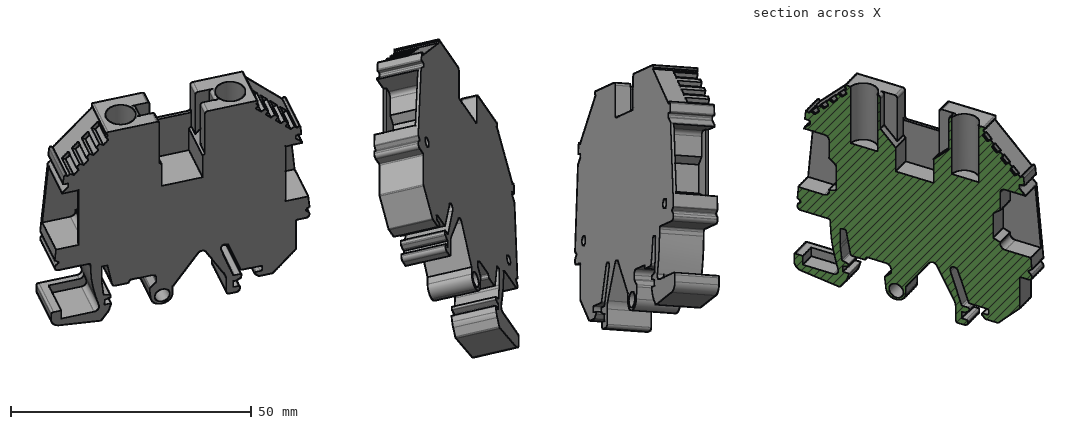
import cadquery as cq
import math


WIDTH = 9.9
HEIGHT = 51.1
WALL = 0.75
FAR_WALL = 0.6

SLOT_HALF = 5.0
SLOT_FLOOR = 43.5
SLOT_LIP_FILLET = 0.6
SLOT_FILLET = 0.5
WELL_RIM_Z = 39.75
WELL_RIM_CHAMFER = 0.5
WELL_HALF = SLOT_HALF - WELL_RIM_CHAMFER
WELL_BOTTOM = 33.35

SHOULDER_TOP_Y = 16.3
SHOULDER_TOP_Z = 50.2
TOWER_EDGE_Y = 16.6
OVERHANG_RISE = 0.3
SHOULDER_RUN = 8.85
GROOVE_START_X = 4.5
GROOVE_COUNT = 4
GROOVE_PITCH = 3.05
GROOVE_MOUTH = 2.0
GROOVE_BASE = 1.5
GROOVE_DEPTH = 0.95
FIRST_GROOVE = 1.6

SCREW_X = 5.4
SCREW_Y = 12.0
SCREW_RADIUS = 3.15
SCREW_DEPTH = 14.15
NOTCH_X = 5.15
NOTCH_WIDTH = 3.5
NOTCH_BACK_Y = 8.1
NOTCH_FILLET = 0.7

ENTRY_FLOOR = 22.0
ENTRY_CEILING = 36.95
ENTRY_FAR_WALL_Y = 22.65
ENTRY_OUTER_Y = 29.45
ENTRY_FACE_Y = 20.4
ENTRY_BACK_Y = 18.7
ENTRY_FLOOR_FILLET = 1.15
ENTRY_CEILING_FILLET = 1.0
ENTRY_SILL_RISE = 1.5
ENTRY_SILL_TOP_RISE = 2.1
ENTRY_LINTEL_Z = 31.5
ENTRY_LINTEL_LOW_Z = 30.15

DIMPLE_Y = 22.9
DIMPLE_Z = 20.6
DIMPLE_RADIUS = 1.0
DIMPLE_DEPTH = 1.7

EYE_Y = -4.35
EYE_Z = 3.45
EYE_OUTER_RADIUS = 2.25
EYE_HOLE_RADIUS = 1.65

FOOT_TOP = 5.1
FOOT_RECESS_START_X = 1.4
FOOT_RECESS_FLOOR = 2.9
FOOT_RECESS_FILLET = 1.15
FOOT_RECESS_OUTER_Y = -26.5

ARM_LOW_Y = -18.45
ARM_BEND_Y = -20.0
ARM_BEND_Z = 10.6

BODY_BOTTOM = 16.25


def rounded_outline(corners):
    """Closed YZ outline through (y, z, radius) corners, each rounded by a tangent arc."""
    pieces = []
    for i, (y, z, radius) in enumerate(corners):
        here = cq.Vector(y, z, 0)
        before = (cq.Vector(*corners[i - 1][:2], 0) - here).normalized()
        after = (cq.Vector(*corners[(i + 1) % len(corners)][:2], 0) - here).normalized()
        if radius == 0:
            pieces.append((here,))
            continue
        half_angle = before.getAngle(after) / 2
        middle = (before + after).normalized()
        setback = radius / math.tan(half_angle)
        reach = radius / math.sin(half_angle) - radius
        pieces.append((here + before * setback, here + middle * reach, here + after * setback))

    sketch = cq.Workplane("YZ").moveTo(pieces[0][-1].x, pieces[0][-1].y)
    for piece in pieces[1:] + pieces[:1]:
        sketch = sketch.lineTo(piece[0].x, piece[0].y)
        if len(piece) == 3:
            sketch = sketch.threePointArc((piece[1].x, piece[1].y), (piece[2].x, piece[2].y))
    return sketch.close()


def mirrored(corners):
    """The same corners on the other side of Y = 0, in reverse order."""
    return [(-y, z, radius) for y, z, radius in reversed(corners)]


def both_sides(solid):
    return solid.union(solid.mirror("XZ"))


def body():
    shoulder_low_y = SHOULDER_TOP_Y + SHOULDER_RUN
    shoulder_low_z = SHOULDER_TOP_Z - SHOULDER_RUN
    tower_side = [
        (SLOT_HALF, SLOT_FLOOR, SLOT_FILLET),
        (SLOT_HALF, HEIGHT, SLOT_LIP_FILLET),
        (TOWER_EDGE_Y, HEIGHT, 0.35),
        (TOWER_EDGE_Y, SHOULDER_TOP_Z + OVERHANG_RISE, 0),
        (SHOULDER_TOP_Y, SHOULDER_TOP_Z, 0),
        (shoulder_low_y, shoulder_low_z, 0),
        (25.6, 41.8, 0.1),
        (25.9, 41.45, 0.1),
        (26.15, 39.4, 0.2),
        (24.9, 39.4, 0.3),
        (24.9, 38.55, 0.15),
        (26.25, 37.25, 0.1),
        (27.9, 19.15, 0.15),
        (27.0, 18.4, 0.1),
        (27.9, 17.5, 0.85),
        (27.9, BODY_BOTTOM, 0.85),
    ]
    fixed_hook = [
        (24.95, BODY_BOTTOM, 0.2),
        (24.95, 8.4, 0.4),
        (19.8, 3.05, 0.35),
        (16.8, 3.05, 0.15),
        (15.8, 4.0, 0.15),
        (16.15, 4.4, 0.1),
        (17.55, 4.4, 0.45),
        (17.55, 5.8, 0.45),
        (12.85, 5.8, 0.35),
        (10.0, 13.7, 0.85),
        (8.15, 13.7, 0.85),
        (11.2, 4.75, 0.35),
        (13.1, 4.75, 0.35),
        (12.9, 3.7, 0.35),
        (11.85, 3.15, 0.35),
        (11.2, 3.1, 0),
        (11.2, 1.6, 0),
        (12.7, 1.6, 0.45),
        (12.7, 0, 0.9),
        (9.7, 0, 0.7),
        (9.7, 4.8, 3.4),
        (4.4, 14.15, 1.0),
    ]
    eye_inner_y = EYE_Y + EYE_OUTER_RADIUS
    eye_outer_y = EYE_Y - EYE_OUTER_RADIUS
    eye_bottom = EYE_Z - EYE_OUTER_RADIUS
    eye = [
        (eye_inner_y, 5.15, 0),
        (eye_inner_y, eye_bottom, EYE_OUTER_RADIUS),
        (eye_outer_y, eye_bottom, EYE_OUTER_RADIUS),
        (-7.2, 6.0, 0.55),
        (-5.65, 7.45, 0.3),
        (-5.65, 9.5, 1.1),
        (-11.45, 9.5, 0.2),
        (-11.8, 8.7, 0.35),
        (-15.2, 8.7, 0.7),
        (-16.35, 14.8, 0.35),
    ]
    foot = [
        (-17.6, 14.8, 0.3),
        (-17.6, 10.4, 6.8),
        (-17.2, 6.95, 0.3),
        (-15.7, 6.5, 0.1),
        (-15.7, 5.85, 0.1),
        (-17.0, 5.5, 0.1),
        (-17.0, 4.2, 0),
        (-15.5, 4.2, 0.1),
        (-16.1, 2.25, 3.4),
        (-17.8, 0, 0.45),
        (-28.7, 1.35, 2.0),
        (-28.7, FOOT_TOP, 0.5),
        (ARM_LOW_Y, FOOT_TOP, 1.0),
        (ARM_BEND_Y, ARM_BEND_Z, 33.95),
        (-20.1, BODY_BOTTOM, 0.5),
    ]
    corners = tower_side + fixed_hook + eye + foot + mirrored(tower_side)
    return rounded_outline(corners).extrude(WIDTH)


def centre_well():
    """Deepening of the slot behind the thin -X wall, open on the +X side."""
    half_outline = [
        (WELL_HALF, WELL_BOTTOM, 0),
        (WELL_HALF, WELL_RIM_Z - WELL_RIM_CHAMFER, 0),
        (SLOT_HALF, WELL_RIM_Z, 0),
        (SLOT_HALF, SLOT_FLOOR + SLOT_FILLET, 0),
    ]
    well = rounded_outline(half_outline + mirrored(half_outline)).extrude(WIDTH - WALL)
    return well.translate((WALL, 0, 0))


def screw_hole():
    return (
        cq.Workplane("XY", origin=(SCREW_X, SCREW_Y, HEIGHT - SCREW_DEPTH))
        .circle(SCREW_RADIUS)
        .extrude(SCREW_DEPTH)
    )


def driver_notch():
    """Slot from the central gap to the screw, with a rounded lip and a base sloping at 45 degrees."""
    return (
        cq.Workplane("YZ", origin=(NOTCH_X - NOTCH_WIDTH / 2, 0, 0))
        .moveTo(0, WELL_RIM_Z)
        .lineTo(SLOT_HALF, WELL_RIM_Z)
        .lineTo(NOTCH_BACK_Y, WELL_RIM_Z + NOTCH_BACK_Y - SLOT_HALF)
        .lineTo(NOTCH_BACK_Y, HEIGHT - NOTCH_FILLET)
        .radiusArc((NOTCH_BACK_Y + NOTCH_FILLET, HEIGHT), NOTCH_FILLET)
        .lineTo(0, HEIGHT)
        .close()
        .extrude(NOTCH_WIDTH)
    )


def grip_grooves():
    """Tapered grooves cut square into the 45 degree shoulder."""
    grooves = cq.Workplane("XY")
    for i in range(GROOVE_COUNT):
        offset = (FIRST_GROOVE + i * GROOVE_PITCH) * math.sqrt(0.5)
        groove = (
            cq.Workplane("YZ")
            .polyline([
                (-GROOVE_MOUTH / 2, 0),
                (-GROOVE_BASE / 2, -GROOVE_DEPTH),
                (GROOVE_BASE / 2, -GROOVE_DEPTH),
                (GROOVE_MOUTH / 2, 0),
            ])
            .close()
            .extrude(WIDTH - GROOVE_START_X)
            .rotate((0, 0, 0), (1, 0, 0), -45)
            .translate((GROOVE_START_X, SHOULDER_TOP_Y + offset, SHOULDER_TOP_Z - offset))
        )
        grooves = grooves.add(groove)
    return grooves.combine()


def wire_entry():
    """Funnel in the end of the body; outside the short +X wall it is open to +X."""
    inner = rounded_outline([
        (ENTRY_OUTER_Y, ENTRY_FLOOR, 0),
        (ENTRY_OUTER_Y, ENTRY_CEILING, 0),
        (ENTRY_FACE_Y, ENTRY_CEILING, ENTRY_CEILING_FILLET),
        (ENTRY_FACE_Y, ENTRY_LINTEL_Z, 0),
        (ENTRY_BACK_Y, ENTRY_LINTEL_LOW_Z, 0),
        (ENTRY_BACK_Y, ENTRY_FLOOR + ENTRY_SILL_TOP_RISE, 0),
        (ENTRY_FACE_Y, ENTRY_FLOOR + ENTRY_SILL_RISE, 0),
        (ENTRY_FACE_Y, ENTRY_FLOOR, ENTRY_FLOOR_FILLET),
    ]).extrude(WIDTH - WALL - FAR_WALL)
    outer = cq.Workplane("XY").box(
        WIDTH - WALL,
        ENTRY_OUTER_Y - ENTRY_FAR_WALL_Y,
        ENTRY_CEILING - ENTRY_FLOOR,
        centered=False,
    ).translate((0, ENTRY_FAR_WALL_Y, ENTRY_FLOOR))
    return inner.union(outer).translate((WALL, 0, 0))


def dimple():
    return cq.Workplane("YZ").center(DIMPLE_Y, DIMPLE_Z).circle(DIMPLE_RADIUS).extrude(DIMPLE_DEPTH)


def eye_hole():
    return cq.Workplane("YZ").center(EYE_Y, EYE_Z).circle(EYE_HOLE_RADIUS).extrude(WIDTH)


def foot_recess():
    """Tray in the top of the foot, open to +X; its back wall continues the slant of the arm."""
    slant = (ARM_LOW_Y - ARM_BEND_Y) / (ARM_BEND_Z - FOOT_TOP)
    inner_y = ARM_LOW_Y + slant * (FOOT_TOP - FOOT_RECESS_FLOOR)
    return rounded_outline([
        (ARM_BEND_Y, ARM_BEND_Z, 0),
        (inner_y, FOOT_RECESS_FLOOR, FOOT_RECESS_FILLET),
        (FOOT_RECESS_OUTER_Y, FOOT_RECESS_FLOOR, 0),
        (FOOT_RECESS_OUTER_Y, ARM_BEND_Z, 0),
    ]).extrude(WIDTH - FOOT_RECESS_START_X).translate((FOOT_RECESS_START_X, 0, 0))


result = body().cut(centre_well()).cut(eye_hole()).cut(foot_recess())
for feature in (screw_hole(), driver_notch(), grip_grooves(), wire_entry(), dimple()):
    result = result.cut(both_sides(feature))
result = result.solids()